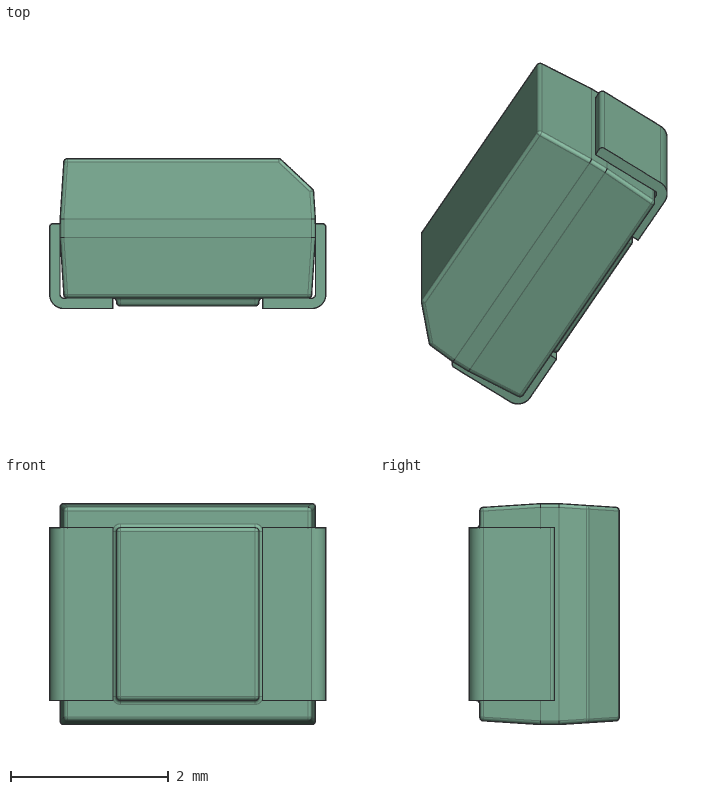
import cadquery as cq
import math

overall_width = 3.5
overall_depth = 1.9
body_height = 2.8

edge_radius = 0.05

lead_thickness = 0.133
lead_height = 2.188
lead_foot_length = 0.8
lead_leg_depth = 1.078
lead_outer_radius = edge_radius + lead_thickness

body_width = overall_width - 2 * lead_thickness
body_front = lead_thickness
band_front = 0.903
band_back = 1.138
draft_angle = 3.7

bevel_width = 0.4
bevel_depth = 0.4

pad_width = 1.802
pad_height = lead_height
pad_straight_wall = 0.0018
pad_thickness = 2 * edge_radius + pad_straight_wall

selection_margin = 0.005


def plane_facing_back(y):
    """Plane at depth y whose normal points along +Y."""
    return cq.Workplane("XZ", origin=(0, y, 0)).transformed(rotate=(0, 180, 0))


def plane_facing_front(y):
    """Plane at depth y whose normal points along -Y."""
    return cq.Workplane("XZ", origin=(0, y, 0))


def edges_at_depth(y, width, height):
    """Selector for edges centred at depth y within a width x height outline."""
    corner_x = width / 2 + selection_margin
    corner_z = height / 2 + selection_margin
    return cq.selectors.BoxSelector(
        (-corner_x, y - selection_margin, -corner_z),
        (corner_x, y + selection_margin, corner_z),
    )


def make_body():
    """Band, two drafted halves and the bevel, rounded along all but the parting outlines."""
    front_half = (
        plane_facing_front(band_front)
        .rect(body_width, body_height)
        .extrude(band_front - body_front, taper=draft_angle)
    )
    band = plane_facing_back(band_front).rect(body_width, body_height).extrude(band_back - band_front)
    back_half = (
        plane_facing_back(band_back)
        .rect(body_width, body_height)
        .extrude(overall_depth - band_back, taper=draft_angle)
    )
    draft_slope = math.tan(math.radians(draft_angle))
    back_corner_x = body_width / 2 - (overall_depth - band_back) * draft_slope
    bevel_side_x = back_corner_x + bevel_depth * draft_slope
    bevel = (
        cq.Workplane("XY")
        .polyline([
            (back_corner_x - bevel_width, overall_depth),
            (bevel_side_x, overall_depth - bevel_depth),
            (bevel_side_x, overall_depth),
        ])
        .close()
        .extrude(body_height, both=True)
    )
    back_half = back_half.cut(bevel)
    return (
        band.edges("|Y").fillet(edge_radius)
        .union(front_half.edges("not >Y").fillet(edge_radius))
        .union(back_half.edges("not <Y").fillet(edge_radius))
    )


def make_lead():
    """Left lead: a foot against the front face, an outer bend and a leg up the side."""
    outer_x = -overall_width / 2
    inner_x = outer_x + lead_thickness
    foot_x = outer_x + lead_foot_length
    return (
        cq.Workplane("XY")
        .moveTo(foot_x, 0)
        .lineTo(outer_x + lead_outer_radius, 0)
        .radiusArc((outer_x, lead_outer_radius), lead_outer_radius)
        .lineTo(outer_x, lead_leg_depth - edge_radius)
        .radiusArc((outer_x + edge_radius, lead_leg_depth), edge_radius)
        .lineTo(inner_x, lead_leg_depth)
        .lineTo(inner_x, lead_outer_radius)
        .radiusArc((outer_x + lead_outer_radius, lead_thickness), -edge_radius)
        .lineTo(foot_x, lead_thickness)
        .close()
        .extrude(lead_height / 2, both=True)
    )


def add_pad(body):
    """Pad with a rounded rim and a fillet where it meets the front face."""
    pad = (
        plane_facing_front(body_front)
        .rect(pad_width, pad_height)
        .extrude(pad_thickness)
        .edges("not >Y")
        .fillet(edge_radius)
    )
    padded = body.union(pad)
    root_edges = edges_at_depth(body_front, pad_width, pad_height)
    return padded.edges(root_edges).fillet(edge_radius)


left_lead = make_lead()
right_lead = left_lead.mirror("YZ")
result = add_pad(make_body()).union(left_lead).union(right_lead)